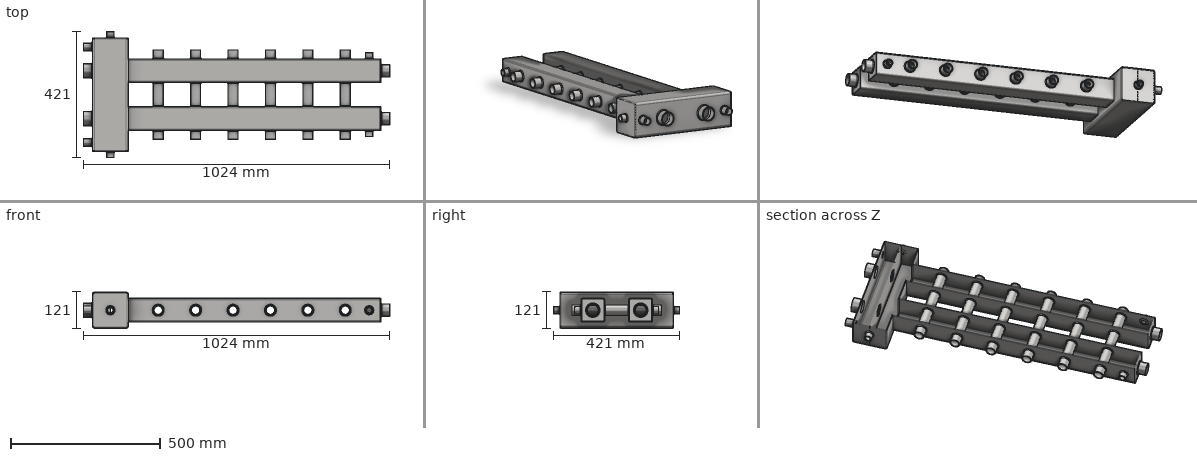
import cadquery as cq
import math

TOTAL_LENGTH = 1024.0
TOTAL_WIDTH = 421.0

BOX_SIDE = 121.0
BOX_LENGTH = 380.0
BOX_CORNER_RADIUS = 8.0
BOX_WALL = 4.0
BOX_END_FILLET = 4.0

BEAM_SIDE = 80.0
BEAM_OFFSET = 80.0
BEAM_CORNER_RADIUS = 5.0
BEAM_WALL = 3.0
BEAM_END_FILLET = 3.0

WELD_LEG = 3.0

INLET_PIPE = (48.0, 42.0)
OUTLET_PIPE = (42.0, 36.0)
SMALL_INLET_PIPE = (27.0, 22.0)
CROSS_PIPE = (34.0, 28.0)
VENT_PIPE = (25.0, 17.0)

INLET_LENGTH = 30.0
OUTLET_LENGTH = 30.0
OUTLET_MOUTH_CHAMFER = 1.0
CROSS_STUB_LENGTH = 30.0
VENT_LENGTH = (TOTAL_WIDTH - BOX_LENGTH) / 2

SMALL_INLET_OFFSET = 160.0
CROSS_PIPE_COUNT = 6
CROSS_PIPE_PITCH = 125.0
FIRST_CROSS_PIPE_X = 250.0
BEAM_VENT_X = 954.0

PLATE_THICKNESS = 2.0
HOLE_DIAMETER = 7.5
HOLE_PITCH = 9.0
HOLE_RINGS = 2

BOX_START = INLET_LENGTH
BOX_CENTER = BOX_START + BOX_SIDE / 2
BOX_END = BOX_START + BOX_SIDE
BEAM_END = TOTAL_LENGTH - OUTLET_LENGTH
BEAM_OUTER_FACE = BEAM_OFFSET + BEAM_SIDE / 2
BEAM_INNER_FACE = BEAM_OFFSET - BEAM_SIDE / 2
SIDES = (-1, 1)


def cylinder(start, direction, diameter, length):
    return cq.Workplane(cq.Solid.makeCylinder(diameter / 2, length, cq.Vector(*start), cq.Vector(*direction)))


def weld(base, direction, pipe_diameter):
    """Conical weld bead around a pipe where it leaves a wall."""
    radius = pipe_diameter / 2
    return cq.Workplane(
        cq.Solid.makeCone(radius + WELD_LEG, radius, WELD_LEG, cq.Vector(*base), cq.Vector(*direction))
    )


def header_outside():
    return (
        cq.Workplane("XY")
        .box(BOX_SIDE, BOX_LENGTH, BOX_SIDE)
        .edges("|Y")
        .fillet(BOX_CORNER_RADIUS)
        .faces("<Y or >Y")
        .fillet(BOX_END_FILLET)
        .translate((BOX_CENTER, 0, 0))
    )


def header_cavity():
    inner_side = BOX_SIDE - 2 * BOX_WALL
    return (
        cq.Workplane("XY")
        .box(inner_side, BOX_LENGTH - 2 * BOX_WALL, inner_side)
        .edges("|Y")
        .fillet(BOX_CORNER_RADIUS - BOX_WALL)
        .translate((BOX_CENTER, 0, 0))
    )


def beam_outside(y):
    start = BOX_END - BOX_WALL
    return (
        cq.Workplane("YZ", origin=(start, y, 0))
        .rect(BEAM_SIDE, BEAM_SIDE)
        .extrude(BEAM_END - start)
        .edges("|X")
        .fillet(BEAM_CORNER_RADIUS)
        .faces(">X")
        .fillet(BEAM_END_FILLET)
    )


def beam_cavity(y):
    """Inside of a beam, opening through the wall of the header box."""
    start = BOX_END - 2 * BOX_WALL
    inner_side = BEAM_SIDE - 2 * BEAM_WALL
    return (
        cq.Workplane("YZ", origin=(start, y, 0))
        .rect(inner_side, inner_side)
        .extrude(BEAM_END - BEAM_WALL - start)
        .edges("|X")
        .fillet(BEAM_CORNER_RADIUS - BEAM_WALL)
    )


def perforated_plate():
    plate = cq.Workplane("XY").box(PLATE_THICKNESS, BOX_LENGTH - BOX_WALL, BOX_SIDE - BOX_WALL)
    column_spacing = HOLE_PITCH * math.sin(math.radians(60))
    centers = []
    for side in SIDES:
        for column in range(-HOLE_RINGS, HOLE_RINGS + 1):
            count = 2 * HOLE_RINGS + 1 - abs(column)
            for row in range(count):
                y = side * BEAM_OFFSET + column * column_spacing
                centers.append((y, (row - (count - 1) / 2) * HOLE_PITCH))
    holes = (
        cq.Workplane("YZ", origin=(-PLATE_THICKNESS, 0, 0))
        .pushPoints(centers)
        .circle(HOLE_DIAMETER / 2)
        .extrude(2 * PLATE_THICKNESS)
    )
    return plate.cut(holes).translate((BOX_CENTER, 0, 0))


def stub_list():
    """Short pipe stubs as (foot on the wall, direction, pipe, length, wall thickness)."""
    stubs = []
    for side in SIDES:
        y = side * BEAM_OFFSET
        outward = (0, side, 0)
        stubs.append(((BOX_START, y, 0), (-1, 0, 0), INLET_PIPE, INLET_LENGTH, BOX_WALL))
        small_foot = (BOX_START, side * SMALL_INLET_OFFSET, 0)
        stubs.append((small_foot, (-1, 0, 0), SMALL_INLET_PIPE, INLET_LENGTH, BOX_WALL))
        stubs.append(((BEAM_END, y, 0), (1, 0, 0), OUTLET_PIPE, OUTLET_LENGTH, BEAM_WALL))
        stubs.append(((BOX_CENTER, side * BOX_LENGTH / 2, 0), outward, VENT_PIPE, VENT_LENGTH, BOX_WALL))
        stubs.append(((BEAM_VENT_X, side * BEAM_OUTER_FACE, 0), outward, VENT_PIPE, VENT_LENGTH, BEAM_WALL))
    return stubs


shell = header_outside()
for side in SIDES:
    shell = shell.union(beam_outside(side * BEAM_OFFSET))
shell = shell.cut(header_cavity())
for side in SIDES:
    shell = shell.cut(beam_cavity(side * BEAM_OFFSET))

for foot, direction, (outer, bore), length, wall in stub_list():
    shell = shell.union(cylinder(foot, direction, outer, length)).union(weld(foot, direction, outer))
    inside = tuple(f - wall * d for f, d in zip(foot, direction))
    shell = shell.cut(cylinder(inside, direction, bore, length + wall))

shell = shell.faces(">X").edges(cq.selectors.RadiusNthSelector(-1)).chamfer(OUTLET_MOUTH_CHAMFER)

cross_outer, cross_bore = CROSS_PIPE
cross_half_length = BEAM_OUTER_FACE + CROSS_STUB_LENGTH
for index in range(CROSS_PIPE_COUNT):
    x = FIRST_CROSS_PIPE_X + index * CROSS_PIPE_PITCH
    start = (x, -cross_half_length, 0)
    shell = shell.union(cylinder(start, (0, 1, 0), cross_outer, 2 * cross_half_length))
    for side in SIDES:
        shell = shell.union(weld((x, side * BEAM_OUTER_FACE, 0), (0, side, 0), cross_outer))
        shell = shell.union(weld((x, side * BEAM_INNER_FACE, 0), (0, -side, 0), cross_outer))
    shell = shell.cut(cylinder(start, (0, 1, 0), cross_bore, 2 * cross_half_length))

result = shell.union(perforated_plate())